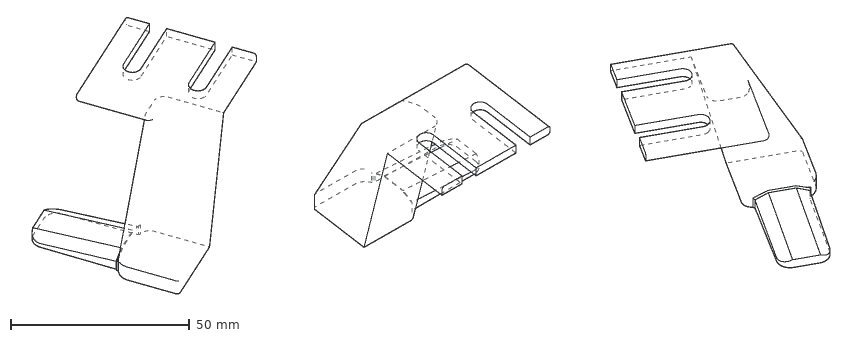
import cadquery as cq

total_length = 47.5
total_depth = 55.5
total_height = 45.0

plate_width = 40.0
plate_thickness = 3.0
plate_side_round = 1.0
plate_under_round = 1.6
slot_width = 5.2
slot_depth = 21.05
slot_spacing = 20.0

column_width = 20.0
base_height = 4.9
front_top_y = 20.15
back_bottom_y = 22.0
back_lean = 0.24
front_round = 4.45
back_round = 3.0
outer_round = 1.0

foot_center_y = 10.95
foot_flat_width = 8.1
foot_root_width = 15.95
foot_tip_width = 15.45
foot_tip_height = 3.0
foot_root_height = base_height
foot_bevel_drop = 1.85
foot_corner_round = 4.0
foot_blend = 0.45
foot_embed = front_round

front_lean = front_top_y / (total_height - base_height)
plate_bottom = total_height - plate_thickness


def front_y(z):
    """Position of the leaning front face at height z."""
    return front_lean * (z - base_height)


def make_column():
    back_top_y = back_bottom_y + back_lean * total_height
    profile = [
        (0, 0),
        (back_bottom_y, 0),
        (back_top_y, total_height),
        (front_top_y, total_height),
        (0, base_height),
    ]
    column = cq.Workplane("YZ").polyline(profile).close().extrude(-column_width)
    middle = total_height / 2
    near = cq.selectors.NearestToPointSelector
    front = near((-column_width, front_y(middle), middle))
    base = near((-column_width, 0, base_height / 2))
    back = near((-column_width, back_bottom_y + back_lean * middle, middle))
    column = column.edges(front + base).fillet(front_round)
    return column.edges(back).fillet(back_round)


def make_plate():
    profile = [
        (front_y(plate_bottom), plate_bottom),
        (total_depth, plate_bottom),
        (total_depth, total_height),
        (front_top_y, total_height),
    ]
    plate = cq.Workplane("YZ").polyline(profile).close().extrude(-plate_width)
    plate = plate.faces("<Z").edges("<Y").fillet(plate_under_round)
    return plate.faces("<X").edges("|Y").fillet(plate_side_round)


def cut_slots(body):
    """Cut two round-ended slots, open at the plate's back edge."""
    for side in (-1, 1):
        center_x = -plate_width / 2 + side * slot_spacing / 2
        slot = (
            cq.Workplane("XY", origin=(center_x, total_depth, plate_bottom))
            .slot2D(2 * slot_depth, slot_width, 90)
            .extrude(plate_thickness)
        )
        body = body.cut(slot)
    return body


def foot_section(width, height):
    """Flat-topped section with sloping shoulders, centred on the foot."""
    side = width / 2
    flat = foot_flat_width / 2
    shoulder = height - foot_bevel_drop
    return [
        (-side, 0),
        (side, 0),
        (side, shoulder),
        (flat, height),
        (-flat, height),
        (-side, shoulder),
    ]


def make_foot():
    tip = foot_section(foot_tip_width, foot_tip_height)
    length = total_length - column_width
    growth = (length + foot_embed) / length
    inner_width = foot_tip_width + (foot_root_width - foot_tip_width) * growth
    inner_height = foot_tip_height + (foot_root_height - foot_tip_height) * growth
    inner = foot_section(inner_width, inner_height)
    foot = (
        cq.Workplane("YZ", origin=(-total_length, foot_center_y, 0))
        .polyline(tip).close()
        .workplane(offset=length + foot_embed)
        .polyline(inner).close()
        .loft(ruled=True)
    )
    outline = (
        cq.Workplane("XY", origin=(-total_length, foot_center_y, 0))
        .moveTo(0, -foot_tip_width / 2)
        .lineTo(length + foot_embed, -inner_width / 2)
        .lineTo(length + foot_embed, inner_width / 2)
        .lineTo(0, foot_tip_width / 2)
        .close()
        .extrude(inner_height)
        .faces("<X").edges("|Z").fillet(foot_corner_round)
    )
    return foot.intersect(outline)


def make_foot_flare():
    """Short bevelled collar where the foot's top and sides meet the column."""
    outer = foot_section(foot_root_width, foot_root_height)
    inner = foot_section(foot_root_width + 2 * foot_blend, foot_root_height + foot_blend)
    return (
        cq.Workplane("YZ", origin=(-column_width - foot_blend, foot_center_y, 0))
        .polyline(outer).close()
        .workplane(offset=foot_blend)
        .polyline(inner).close()
        .loft(ruled=True)
        .faces(">X").wires().toPending()
        .workplane()
        .extrude(foot_embed)
    )


def round_outer_edges(body):
    """Round the column's outer front edges and the plate's outer top and front top edges."""
    near = cq.selectors.NearestToPointSelector
    z = (total_height + base_height) / 2
    front = near((0, front_y(z), z))
    base = near((0, 0, base_height / 2))
    plate_side = near((0, (total_depth + front_top_y) / 2, total_height))
    plate_front = near((-plate_width / 2, front_top_y, total_height))
    return body.edges(front + base + plate_side + plate_front).fillet(outer_round)


body = make_column().union(make_foot()).union(make_foot_flare()).union(make_plate())
result = cut_slots(round_outer_edges(body))